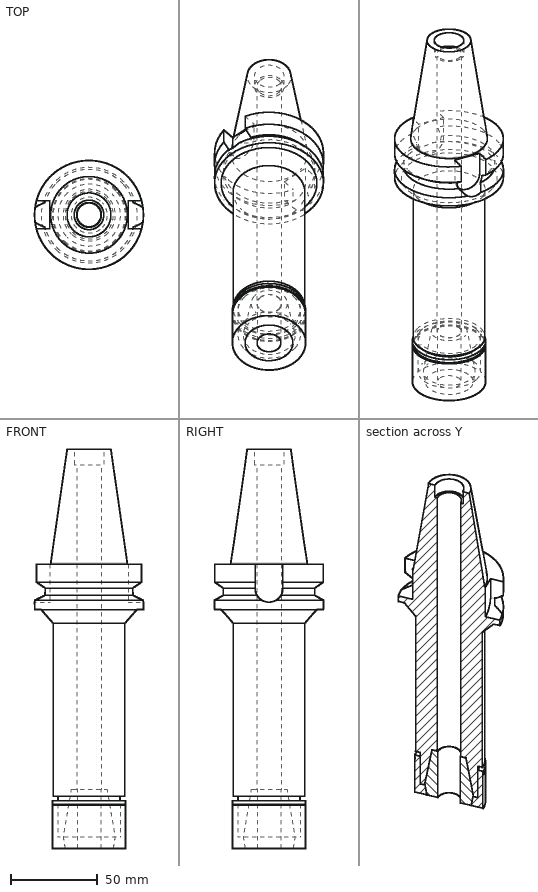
import cadquery as cq

total_height = 230.5
gauge_z = 165.0

taper_top_radius = 12.7
taper_base_radius = 22.1
flange_diameter = 63.0
flange_radius = flange_diameter / 2
flange_top_z = 164.0
flange_bottom_z = 137.8
groove_radius = 26.5
upper_lip_z = 153.7
groove_top_z = 150.2
groove_bottom_z = 146.0
lower_lip_z = 143.3
cone_radius = 27.6
cone_bottom_z = 130.0

slot_width = 16.1
slot_floor_x = 22.5
slot_bottom_z = 142.2

barrel_radius = 20.7
barrel_bottom_z = 30.2
neck_radius = 18.0
nose_bottom_z = 7.0

nut_radius = 21.2
nut_height = 27.6
nut_groove_depth = 0.2
nut_groove_z = 24.9
nut_groove_width = 0.7
nut_mouth_radius = 13.8

counterbore_radius = 8.5
counterbore_depth = 9.0
bore_radius = 7.1
collet_bore_radius = 7.0
collet_height = 34.0
collet_top_radius = 10.4
collet_large_radius = 15.0


def revolve_profile(points):
    """Turn a closed (radius, z) outline about the Z axis."""
    return cq.Workplane("XZ").polyline(points).close().revolve(360, (0, 0), (0, 1))


def make_drive_slot(side):
    """Round-ended cutter for the drive slot; side is -1 or +1 along X."""
    arc_z = slot_bottom_z + slot_width / 2
    slot = (
        cq.Workplane("YZ", origin=(slot_floor_x, 0, 0))
        .moveTo(-slot_width / 2, total_height)
        .lineTo(-slot_width / 2, arc_z)
        .threePointArc((0, slot_bottom_z), (slot_width / 2, arc_z))
        .lineTo(slot_width / 2, total_height)
        .close()
        .extrude(flange_radius)
    )
    return slot if side > 0 else slot.mirror("YZ")


def make_holder():
    """Taper shank with stepped bore, grooved flange, barrel and nose with a conical collet seat."""
    counterbore_z = total_height - counterbore_depth
    holder = revolve_profile([
        (bore_radius, counterbore_z),
        (counterbore_radius, counterbore_z),
        (counterbore_radius, total_height),
        (taper_top_radius, total_height),
        (taper_base_radius, gauge_z),
        (taper_base_radius, flange_top_z),
        (flange_radius, flange_top_z),
        (flange_radius, upper_lip_z),
        (groove_radius, groove_top_z),
        (groove_radius, groove_bottom_z),
        (flange_radius, lower_lip_z),
        (flange_radius, flange_bottom_z),
        (cone_radius, flange_bottom_z),
        (barrel_radius, cone_bottom_z),
        (barrel_radius, barrel_bottom_z),
        (neck_radius, barrel_bottom_z),
        (neck_radius, nose_bottom_z),
        (collet_large_radius, nose_bottom_z),
        (collet_top_radius, collet_height),
        (bore_radius, collet_height),
    ])
    for side in (-1, 1):
        holder = holder.cut(make_drive_slot(side))
    return holder


def make_collet():
    """Conical collet whose lower end tapers into the mouth of the nut."""
    return revolve_profile([
        (collet_bore_radius, 0),
        (nut_mouth_radius, 0),
        (collet_large_radius, nose_bottom_z),
        (collet_top_radius, collet_height),
        (collet_bore_radius, collet_height),
    ])


def make_nut():
    """Nut around the nose, with a fine groove below its upper rim."""
    groove_floor_radius = nut_radius - nut_groove_depth
    return revolve_profile([
        (nut_mouth_radius, 0),
        (nut_radius, 0),
        (nut_radius, nut_groove_z),
        (groove_floor_radius, nut_groove_z),
        (groove_floor_radius, nut_groove_z + nut_groove_width),
        (nut_radius, nut_groove_z + nut_groove_width),
        (nut_radius, nut_height),
        (neck_radius, nut_height),
        (neck_radius, nose_bottom_z),
        (collet_large_radius, nose_bottom_z),
    ])


holder = make_holder()
collet = make_collet()
nut = make_nut()

result = cq.Compound.makeCompound([holder.val(), collet.val(), nut.val()])